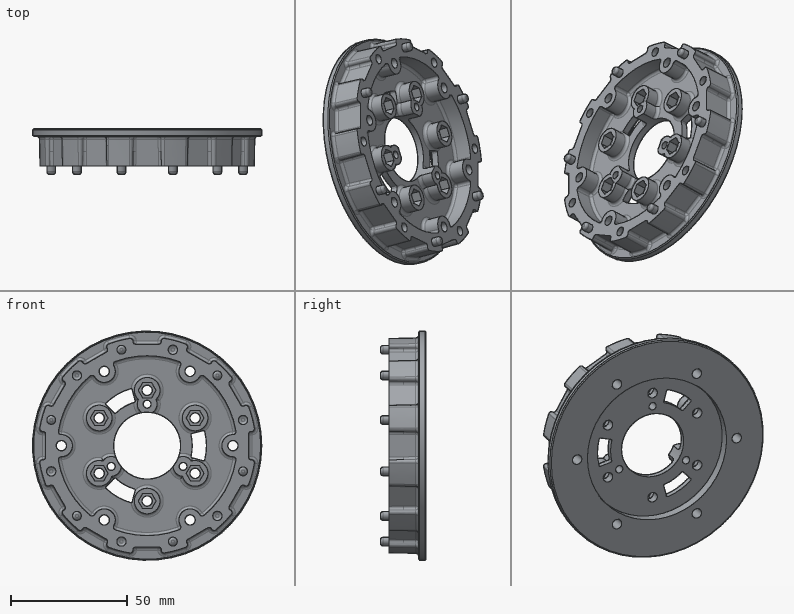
import cadquery as cq
import math


flange_diameter = 98.4
flange_thickness = 3.3
flange_chamfer = 0.5

ring_face_height = 16.0
draft_angle = 1.0
tooth_count = 12
tooth_pitch = 360 / tooth_count
tooth_radius = 46.6
notch_floor_radius = 43.5
notch_width = 12.2
tooth_corner_fillet = 1.2
notch_corner_fillet = 1.2
ring_foot_fillet = 1.25

floor_height = 8.0
pocket_radius = 38.6
pocket_corner_fillet = 1.3
pocket_floor_fillet = 1.2
lug_count = 6
lug_circle_radius = 36.8
lug_radius = 4.75

locating_circle_radius = 42.6
locating_end_fillet = 1.25
pin_count = tooth_count // 2
pin_diameter = 3.81
pin_length = 3.68
pin_first_angle = 1.5 * tooth_pitch
socket_diameter = 3.99
socket_depth = pin_length
socket_first_angle = 0.5 * tooth_pitch

boss_top_height = 14.6
boss_foot_fillet = 1.4
hex_boss_count = 6
hex_boss_circle_radius = 23.75
hex_boss_first_angle = 30
hex_boss_diameter = 11.0
hex_across_flats = 6.6
hex_socket_depth = 5.0
small_boss_count = 3
small_boss_circle_radius = 17.8
small_boss_first_angle = 90
small_boss_diameter = 8.5

back_recess_depth = 5.0
back_recess_radius = lug_circle_radius - lug_radius

bore_diameter = 28.6
screw_hole_diameter = 4.3
small_hole_diameter = 3.3
slot_count = 3
slot_inner_radius = 19.4
slot_outer_radius = 25.4
slot_half_angle = 15.0
slot_corner_fillet = 0.5

overrun = 1.0


def plane_at(height):
    """Sketch plane parallel to the disc, facing -Y; its local axes are X and Z."""
    return cq.Workplane("XZ", origin=(0, -height, 0))


def polar(radius, angle):
    turn = math.radians(angle)
    return (radius * math.cos(turn), radius * math.sin(turn))


def polar_points(radius, count, first_angle):
    return [polar(radius, first_angle + i * 360 / count) for i in range(count)]


def axis_distance(point):
    return math.hypot(point.x, point.z)


def side_edges(solid, height, max_radius):
    """Edges running along the disc axis, crossing a height within a radius of the axis."""

    def is_side_edge(edge):
        middle = edge.Center()
        return abs(middle.y + height) < overrun and axis_distance(middle) < max_radius

    return solid.edges().filter(is_side_edge)


def make_flange():
    disc = plane_at(0).circle(flange_diameter / 2).extrude(flange_thickness)
    return disc.edges().chamfer(flange_chamfer)


def tooth_outline():
    """Toothed disc as it appears on the ring face, with the outer tooth corners rounded."""
    notch_length = 2 * (tooth_radius - notch_floor_radius)
    notches = cq.Sketch().parray(tooth_radius, 0, 360, tooth_count).rect(notch_length, notch_width)
    outline = cq.Sketch().circle(tooth_radius).face(notches, mode="s")
    tooth_corners = outline.vertices().filter(lambda v: math.hypot(v.X, v.Y) > tooth_radius - overrun)
    return tooth_corners.fillet(tooth_corner_fillet).reset()


def make_toothed_ring():
    """Solid toothed disc that widens with draft from its face down to the flange."""
    height = ring_face_height - flange_thickness
    ring = plane_at(ring_face_height).placeSketch(tooth_outline()).extrude(-height, taper=-draft_angle)
    notch_corner_radius = math.hypot(notch_floor_radius, notch_width / 2)
    notch_corners = side_edges(ring, flange_thickness + height / 2, notch_corner_radius + overrun / 2)
    return notch_corners.fillet(notch_corner_fillet)


def make_body():
    """Flange and toothed ring, blended where the ring stands on the flange."""
    body = make_flange().union(make_toothed_ring())

    def is_ring_foot(edge):
        ends = [edge.startPoint(), edge.endPoint(), edge.positionAt(0.5)]
        on_flange = all(abs(p.y + flange_thickness) < 0.01 for p in ends)
        return on_flange and axis_distance(edge.startPoint()) < flange_diameter / 2 - overrun

    return body.edges().filter(is_ring_foot).fillet(ring_foot_fillet)


def make_pocket():
    """Space inside the ring: narrows with draft to the floor and leaves the lugs standing."""
    depth = ring_face_height - floor_height
    pocket = plane_at(ring_face_height).circle(pocket_radius).extrude(-depth, taper=draft_angle)
    for i in range(lug_count):
        lug = cq.Sketch().push([(lug_circle_radius, 0)]).circle(lug_radius).reset()
        lug = lug.push([(lug_circle_radius + lug_radius, 0)]).rect(2 * lug_radius, 2 * lug_radius)
        lug_solid = plane_at(floor_height).placeSketch(lug).extrude(depth)
        pocket = pocket.cut(lug_solid.rotate((0, 0, 0), (0, 1, 0), i * 360 / lug_count))
    corners = side_edges(pocket, floor_height + depth / 2, pocket_radius + overrun)
    corners = corners.filter(lambda e: axis_distance(e.Center()) > lug_circle_radius + overrun)
    pocket = corners.fillet(pocket_corner_fillet)
    return pocket.faces(">Y").edges().fillet(pocket_floor_fillet)


def make_back_recess():
    return plane_at(0).circle(back_recess_radius).extrude(back_recess_depth)


def make_boss(diameter, center):
    """Round boss on the pocket floor, flaring out at its foot."""
    radius = diameter / 2
    flare_radius = radius + boss_foot_fillet
    flare_top = floor_height + boss_foot_fillet
    middle = boss_foot_fillet * (1 - math.sqrt(0.5))
    profile = (
        cq.Workplane("XY")
        .moveTo(0, -floor_height + overrun)
        .lineTo(flare_radius, -floor_height + overrun)
        .lineTo(flare_radius, -floor_height)
        .threePointArc((radius + middle, -floor_height - middle), (radius, -flare_top))
        .lineTo(radius, -boss_top_height)
        .lineTo(0, -boss_top_height)
        .close()
    )
    x, z = center
    return profile.revolve(360, (0, 0, 0), (0, 1, 0)).translate((x, 0, z))


def make_pins():
    centers = polar_points(locating_circle_radius, pin_count, pin_first_angle)
    root = plane_at(ring_face_height - overrun).pushPoints(centers)
    pins = root.circle(pin_diameter / 2).extrude(pin_length + overrun)
    return pins.faces("<Y").edges().fillet(locating_end_fillet)


def make_sockets():
    centers = polar_points(locating_circle_radius, pin_count, socket_first_angle)
    mouth = plane_at(ring_face_height).pushPoints(centers)
    sockets = mouth.circle(socket_diameter / 2).extrude(-socket_depth)
    return sockets.faces(">Y").edges().fillet(locating_end_fillet)


def make_through_holes(diameter, centers):
    return plane_at(-overrun).pushPoints(centers).circle(diameter / 2).extrude(ring_face_height + 2 * overrun)


def make_hex_sockets(centers):
    across_corners = hex_across_flats / math.cos(math.pi / 6)
    return plane_at(boss_top_height).pushPoints(centers).polygon(6, across_corners).extrude(-hex_socket_depth)


def make_slot(angle):
    """Arc-shaped slot through the floor, with radial ends, centred on an angle."""
    start = angle - slot_half_angle
    end = angle + slot_half_angle
    outline = (
        plane_at(-overrun)
        .moveTo(*polar(slot_inner_radius, start))
        .lineTo(*polar(slot_outer_radius, start))
        .threePointArc(polar(slot_outer_radius, angle), polar(slot_outer_radius, end))
        .lineTo(*polar(slot_inner_radius, end))
        .threePointArc(polar(slot_inner_radius, angle), polar(slot_inner_radius, start))
        .close()
    )
    return outline.extrude(ring_face_height).edges("|Y").fillet(slot_corner_fillet)


lug_centers = polar_points(lug_circle_radius, lug_count, 0)
hex_boss_centers = polar_points(hex_boss_circle_radius, hex_boss_count, hex_boss_first_angle)
small_boss_centers = polar_points(small_boss_circle_radius, small_boss_count, small_boss_first_angle)

result = make_body().cut(make_pocket())
result = result.cut(make_back_recess())
for boss_center in hex_boss_centers:
    result = result.union(make_boss(hex_boss_diameter, boss_center))
for boss_center in small_boss_centers:
    result = result.union(make_boss(small_boss_diameter, boss_center))
result = result.union(make_pins())

result = result.cut(make_sockets())
result = result.cut(make_hex_sockets(hex_boss_centers))
result = result.cut(make_through_holes(screw_hole_diameter, lug_centers + hex_boss_centers))
result = result.cut(make_through_holes(small_hole_diameter, small_boss_centers))
result = result.cut(make_through_holes(bore_diameter, [(0, 0)]))
for slot_index in range(slot_count):
    result = result.cut(make_slot(slot_index * 360 / slot_count))